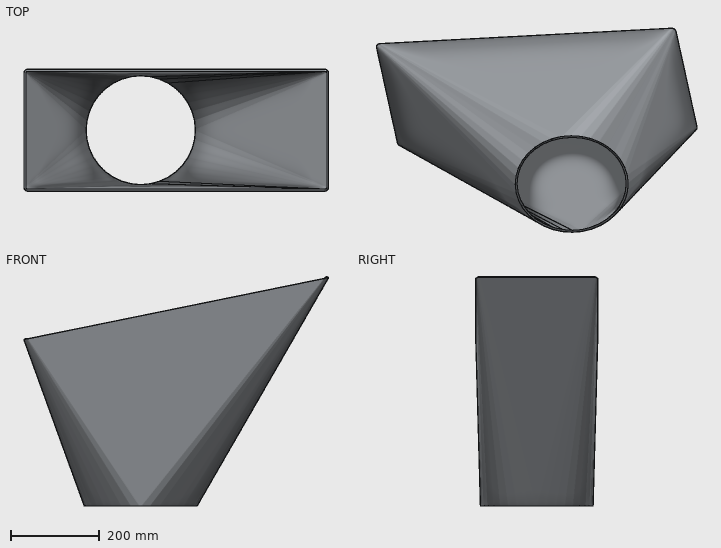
import cadquery as cq
import math

sheet = 5.0
collar_radius = 127.0
mouth_length = 700.0
mouth_width = 275.0
mouth_corner_radius = 10.0
mouth_tilt = math.radians(11.5)
mouth_centre_x = 80.0
mouth_centre_z = 444.16
panels_per_corner = 9
side_panel_half_angle = math.radians(0.8)

QUARTER_TURN = math.pi / 2
COINCIDENT = 1e-6

bends_per_corner = panels_per_corner + 1
corner_bend_step = QUARTER_TURN / bends_per_corner
bend_width = mouth_corner_radius * corner_bend_step
collar_bend_angle = bend_width / collar_radius
collar_panel_step = QUARTER_TURN / panels_per_corner


def collar_point(angle):
    return cq.Vector(collar_radius * math.cos(angle), collar_radius * math.sin(angle), 0)


def mouth_point(x_sign, y_sign, angle):
    """Point on a rounded mouth corner, laid out flat and then tilted about Y."""
    along = x_sign * (mouth_length / 2 - mouth_corner_radius) + mouth_corner_radius * math.cos(angle)
    across = y_sign * (mouth_width / 2 - mouth_corner_radius) + mouth_corner_radius * math.sin(angle)
    return cq.Vector(
        mouth_centre_x + along * math.cos(mouth_tilt),
        across,
        mouth_centre_z + along * math.sin(mouth_tilt),
    )


def collar_bends(start, start_margin, end_margin):
    """Start and end angles, on the collar, of every bend of one corner."""
    end = start + QUARTER_TURN
    bends = [(start + start_margin, start + start_margin + collar_bend_angle)]
    for step in range(1, panels_per_corner):
        centre = start + step * collar_panel_step
        bends.append((centre - collar_bend_angle / 2, centre + collar_bend_angle / 2))
    bends.append((end - end_margin - collar_bend_angle, end - end_margin))
    return bends


def corner_folds(index, x_sign, y_sign):
    """Both edges of every bend of one corner, as (mouth point, collar point) pairs."""
    start = index * QUARTER_TURN
    starts_at_end_panel = index % 2 == 0
    margins = (0, side_panel_half_angle) if starts_at_end_panel else (side_panel_half_angle, 0)
    folds = []
    for step, collar_angles in enumerate(collar_bends(start, *margins)):
        for edge, collar_angle in enumerate(collar_angles):
            mouth_angle = start + (step + edge) * corner_bend_step
            folds.append((mouth_point(x_sign, y_sign, mouth_angle), collar_point(collar_angle)))
    return folds


def outer_panels():
    """Flat panels as pairs of folds, counter-clockwise seen from above."""
    folds = []
    for index, (x_sign, y_sign) in enumerate([(1, 1), (-1, 1), (-1, -1), (1, -1)]):
        folds += corner_folds(index, x_sign, y_sign)
    return [(folds[i], folds[(i + 1) % len(folds)]) for i in range(1, len(folds), 2)]


def inner_panel(outer):
    """The panel shifted inward, square to its plane, by the sheet thickness."""
    (first_mouth, first_collar), (second_mouth, second_collar) = outer
    outward = (second_mouth - first_collar).cross(first_mouth - second_collar).normalized()
    inward = outward * -sheet
    return [(mouth + inward, collar + inward) for mouth, collar in outer]


def faces_between(a, b, c, d):
    """Face spanning a-b and d-c: a triangle if one edge has no length, nothing if two have none."""
    corners = []
    for point in (a, b, c, d):
        if all((point - other).Length > COINCIDENT for other in corners):
            corners.append(point)
    if len(corners) < 3:
        return []
    if len(corners) == 3:
        return [cq.Face.makeFromWires(cq.Wire.makePolygon(corners, close=True))]
    return [cq.Face.makeRuledSurface(cq.Edge.makeLine(a, b), cq.Edge.makeLine(d, c))]


def folded_sheet():
    panels = outer_panels()
    outer = [fold for panel in panels for fold in panel]
    inner = [fold for panel in panels for fold in inner_panel(panel)]
    faces = []
    for i in range(len(outer)):
        j = (i + 1) % len(outer)
        for skin in (outer, inner):
            faces += faces_between(*skin[i], *reversed(skin[j]))
        for outer_start, inner_start, inner_end, outer_end in zip(outer[i], inner[i], inner[j], outer[j]):
            faces += faces_between(outer_start, inner_start, inner_end, outer_end)
    return cq.Solid.makeSolid(cq.Shell.makeShell(faces))


result = cq.Workplane("XY").newObject([folded_sheet()])